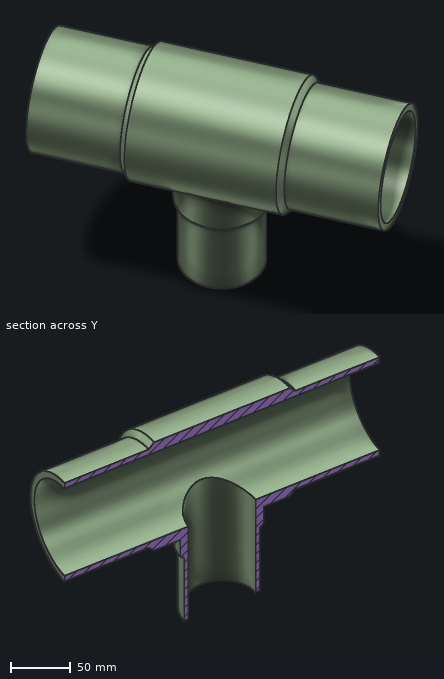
import cadquery as cq

run_length = 311.0
run_diameter = 110.0
run_bore = 96.8
run_sleeve_diameter = 121.0
run_sleeve_length = 145.0

branch_reach = 152.0
branch_diameter = 75.0
branch_bore = 66.0
branch_sleeve_diameter = 82.5
branch_sleeve_reach = 82.5

run_chamfer = (run_sleeve_diameter - run_diameter) / 2
branch_chamfer = (branch_sleeve_diameter - branch_diameter) / 2


def run_cylinder(diameter, length):
    """Cylinder along X, centred on the origin."""
    end_plane = cq.Workplane("YZ", origin=(-length / 2, 0, 0))
    return end_plane.circle(diameter / 2).extrude(length)


def branch_cylinder(diameter, reach):
    """Cylinder from the main axis down to z = -reach."""
    return cq.Workplane("XY").circle(diameter / 2).extrude(-reach)


def run_body():
    sleeve = run_cylinder(run_sleeve_diameter, run_sleeve_length)
    sleeve = sleeve.faces("<X or >X").edges().chamfer(run_chamfer)
    return sleeve.union(run_cylinder(run_diameter, run_length))


def branch_body():
    sleeve = branch_cylinder(branch_sleeve_diameter, branch_sleeve_reach)
    sleeve = sleeve.faces("<Z").edges().chamfer(branch_chamfer)
    return sleeve.union(branch_cylinder(branch_diameter, branch_reach))


tee = run_body().union(branch_body())
tee = tee.cut(run_cylinder(run_bore, run_length))
result = tee.cut(branch_cylinder(branch_bore, branch_reach))